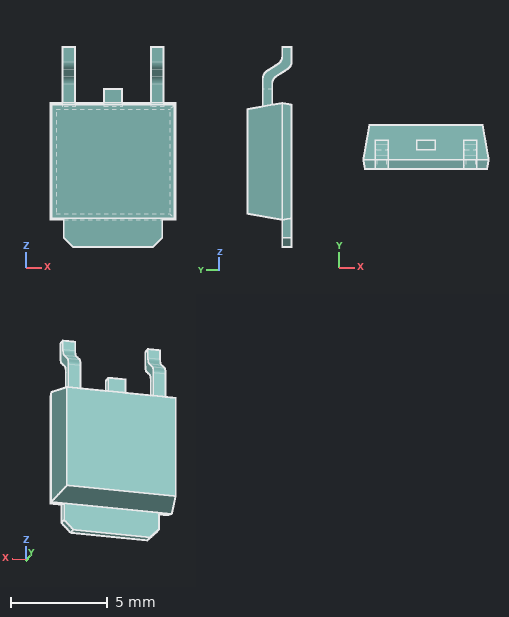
import cadquery as cq
import math

metal = 0.5
total_height = 10.36

housing_width = 6.5
housing_depth = 2.3
housing_bottom = 1.41
housing_top = 7.46
draft_angle = 10.0
parting_y = metal

tab_width = 5.12
tab_corner = metal

lead_width = 0.66
lead_offset = 2.29
lead_front = 1.0
lead_back = lead_front + metal
lower_bend_z = 8.84
upper_bend_z = 9.48
bend_radius = 0.47
stub_width = 0.93
stub_top = 8.18

housing_height = housing_top - housing_bottom
housing_middle = (housing_top + housing_bottom) / 2


def make_drafted_half(length):
    """Half of the housing, from the parting plane along +Y, or -Y if length is negative."""
    return (
        cq.Workplane("XZ", origin=(0, parting_y, housing_middle))
        .rect(housing_width, housing_height)
        .extrude(-length, taper=draft_angle)
    )


def make_stub():
    """Short cut-off centre terminal, rooted inside the housing."""
    root = housing_middle
    return cq.Workplane("XY").box(
        stub_width, metal, stub_top - root, centered=(True, False, False)
    ).translate((0, lead_front, root))


def make_housing():
    """Drafted housing with the centre stub."""
    front_half = make_drafted_half(-parting_y)
    back_half = make_drafted_half(housing_depth - parting_y)
    return front_half.union(back_half).union(make_stub())


def make_tab(housing):
    """Flat tab with cut corners, ending on the drafted underside of the housing."""
    return (
        cq.Workplane("XY")
        .box(tab_width, metal, housing_middle, centered=(True, False, False))
        .faces("<Z").edges("|Y").chamfer(tab_corner)
        .cut(housing)
    )


def make_lead(x, housing):
    """Double-bent lead, starting on the drafted top of the housing."""
    slope = math.atan2(upper_bend_z - lower_bend_z, lead_front)
    corner_shift = metal / 2 * math.tan(math.pi / 4 - slope / 2)
    profile = [
        (lead_front, housing_middle),
        (lead_front, lower_bend_z - corner_shift),
        (0, upper_bend_z - corner_shift),
        (0, total_height),
        (metal, total_height),
        (metal, upper_bend_z + corner_shift),
        (lead_back, lower_bend_z + corner_shift),
        (lead_back, housing_middle),
    ]
    bends = cq.selectors.BoxSelector(
        (-lead_width, -metal, housing_top),
        (lead_width, housing_depth, total_height - metal / 2),
    )
    return (
        cq.Workplane("YZ")
        .polyline(profile)
        .close()
        .extrude(lead_width / 2, both=True)
        .edges("|X").edges(bends).fillet(bend_radius)
        .translate((x, 0, 0))
        .cut(housing)
    )


housing = make_housing()
tab = make_tab(housing)
leads = [make_lead(x, housing) for x in (-lead_offset, lead_offset)]

result = cq.Compound.makeCompound(
    [housing.val(), tab.val(), *[lead.val() for lead in leads]]
)